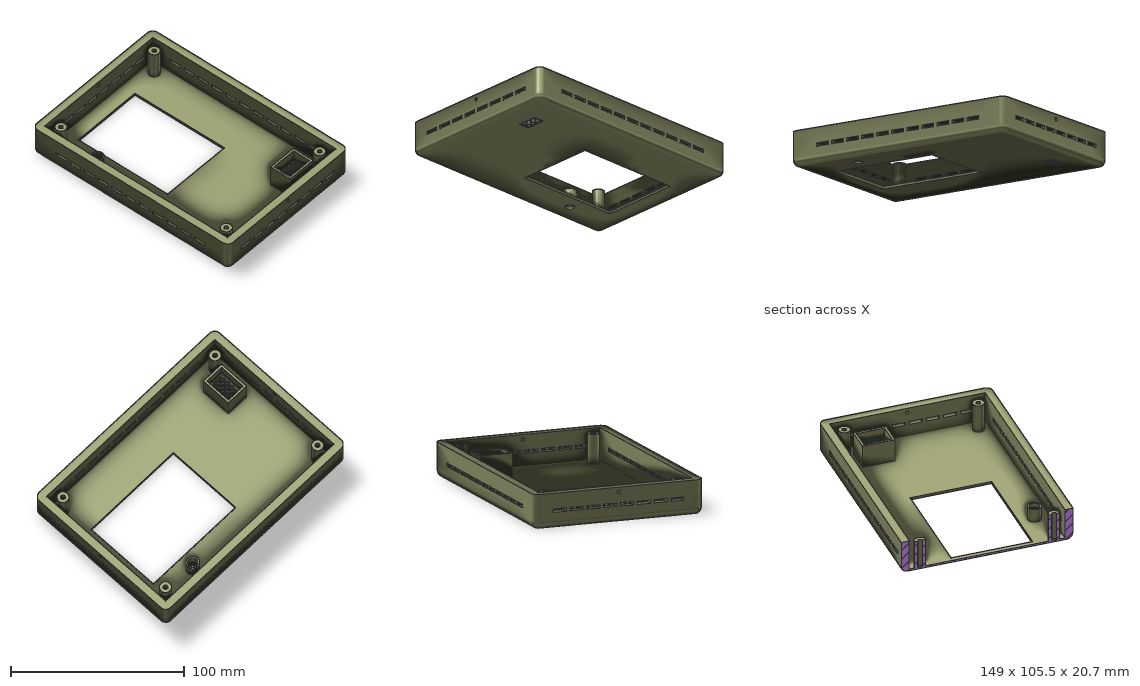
import cadquery as cq

LENGTH = 149.0
WIDTH = 105.5
HEIGHT = 20.7
EDGE_RADIUS = 4.0

CAVITY_LENGTH = 139.0
CAVITY_WIDTH = 95.5
FLOOR = 1.5
FLOOR_FILLET = 0.5

WINDOW_LENGTH = 68.0
WINDOW_WIDTH = 49.9
WINDOW_X = -26.2
WINDOW_Y = -3.9

SLOT_LENGTH = 8.0
SLOT_HEIGHT = 2.0
LONG_WALL_SLOTS = 11
SHORT_WALL_SLOTS = 8
LONG_WALL_SLOT_SPAN = 113.0
SLOT_PITCH = (LONG_WALL_SLOT_SPAN - SLOT_LENGTH) / (LONG_WALL_SLOTS - 1)

SIDE_HOLE_DIAMETER = 2.0
SIDE_HOLE_Z = 17.7

POST_DIAMETER = 7.0
POST_HOLE_DIAMETER = 2.7
POST_X = 62.9
POST_Y = 41.1
POST_TOP = 19.4

COLLAR_DIAMETER = 8.0
COLLAR_BORE = 6.0
COLLAR_HOLE = 5.5
COLLAR_X = -37.5
COLLAR_Y = -38.5
COLLAR_TOP = 10.0

BOX_LENGTH = 15.0
BOX_WIDTH = 20.1
BOX_X = 55.1
BOX_Y = 25.6
BOX_TOP = 16.0
BOX_WALL = 1.5
BOX_POCKET_DEPTH = 8.0
GRILLE_LENGTH = 6.7
GRILLE_WIDTH = 12.4
GRILLE_TOP = 12.5
BAR_WIDTH = 0.5
BAR_PITCH = 2.5
BARS_EACH_SIDE = 3


def block(length, width, bottom, top, x=0, y=0):
    """Upright block centred on x, y."""
    return cq.Workplane("XY", origin=(x, y, bottom)).rect(length, width).extrude(top - bottom)


def cylinder(diameter, bottom, top, x, y):
    """Upright cylinder centred on x, y."""
    return cq.Workplane("XY", origin=(x, y, bottom)).circle(diameter / 2).extrude(top - bottom)


def make_tray():
    tray = block(LENGTH, WIDTH, 0, HEIGHT)
    tray = tray.edges("|Z").fillet(EDGE_RADIUS)
    tray = tray.faces("<Z").edges().fillet(EDGE_RADIUS)
    cavity = block(CAVITY_LENGTH, CAVITY_WIDTH, FLOOR, HEIGHT)
    cavity = cavity.faces("<Z").edges("|Y").fillet(FLOOR_FILLET)
    tray = tray.cut(cavity)
    return tray.cut(block(WINDOW_LENGTH, WINDOW_WIDTH, 0, FLOOR, WINDOW_X, WINDOW_Y))


def make_slots(plane, count, depth):
    """Row of slots running through both opposite walls."""
    return (
        cq.Workplane(plane, origin=(0, 0, HEIGHT / 2))
        .rarray(SLOT_PITCH, 1.5, count, 1)
        .rect(SLOT_LENGTH, SLOT_HEIGHT)
        .extrude(depth / 2, both=True)
    )


def make_side_holes():
    return (
        cq.Workplane("YZ", origin=(0, 0, SIDE_HOLE_Z))
        .circle(SIDE_HOLE_DIAMETER / 2)
        .extrude(LENGTH / 2, both=True)
    )


def add_posts(part):
    for x in (-POST_X, POST_X):
        for y in (-POST_Y, POST_Y):
            part = part.union(cylinder(POST_DIAMETER, FLOOR / 2, POST_TOP, x, y))
            part = part.cut(cylinder(POST_HOLE_DIAMETER, FLOOR, POST_TOP, x, y))
    return part


def add_collar(part):
    part = part.union(cylinder(COLLAR_DIAMETER, 0, COLLAR_TOP, COLLAR_X, COLLAR_Y))
    part = part.cut(cylinder(COLLAR_BORE, FLOOR, COLLAR_TOP, COLLAR_X, COLLAR_Y))
    return part.cut(cylinder(COLLAR_HOLE, 0, FLOOR, COLLAR_X, COLLAR_Y))


def make_grille():
    """Two crossing sets of diagonal bars, trimmed to the grille opening."""
    bar_length = GRILLE_LENGTH + GRILLE_WIDTH
    bars = cq.Workplane("XY")
    for angle in (-45, 45):
        for index in range(-BARS_EACH_SIDE, BARS_EACH_SIDE + 1):
            bar = block(bar_length, BAR_WIDTH, 0, GRILLE_TOP, 0, index * BAR_PITCH)
            bars = bars.union(bar.rotate((0, 0, 0), (0, 0, 1), angle))
    opening = block(GRILLE_LENGTH, GRILLE_WIDTH, 0, GRILLE_TOP, BOX_X, BOX_Y)
    return bars.translate((BOX_X, BOX_Y, 0)).intersect(opening)


def add_box(part):
    pocket_floor = BOX_TOP - BOX_POCKET_DEPTH
    part = part.union(block(BOX_LENGTH, BOX_WIDTH, FLOOR / 2, BOX_TOP, BOX_X, BOX_Y))
    part = part.cut(
        block(BOX_LENGTH - 2 * BOX_WALL, BOX_WIDTH - 2 * BOX_WALL, pocket_floor, BOX_TOP, BOX_X, BOX_Y)
    )
    part = part.cut(block(GRILLE_LENGTH, GRILLE_WIDTH, 0, pocket_floor, BOX_X, BOX_Y))
    return part.union(make_grille())


result = make_tray()
result = result.cut(make_slots("XZ", LONG_WALL_SLOTS, WIDTH))
result = result.cut(make_slots("YZ", SHORT_WALL_SLOTS, LENGTH))
result = result.cut(make_side_holes())
result = add_posts(result)
result = add_collar(result)
result = add_box(result)